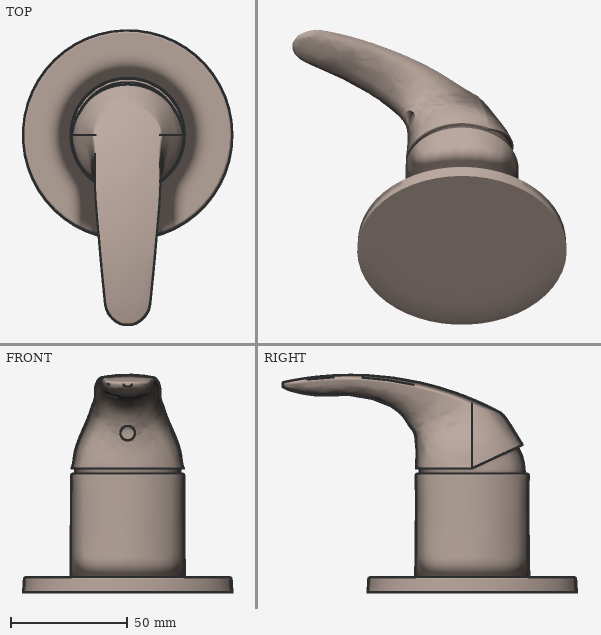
import cadquery as cq
import math

flange_radius = 45.0
flange_top_radius = 44.6
flange_height = 6.5
flange_edge = 1.0
sleeve_base_radius = 24.6
sleeve_top_radius = 24.3
sleeve_top = 51.0
sleeve_edge = 1.0

dome_radius = 22.7

head_bottom = 53.3
head_radius = 24.1
heel_y = 21.6
heel_z = 63.3
head_levels = [
    (head_bottom, 23.9, 23.9),
    (58.8, 22.8, 23.0),
    (64.0, 21.35, 21.3),
    (70.0, 18.85, 17.5),
    (74.0, 17.2, 15.0),
    (77.5, 15.8, 11.9),
    (84.0, 13.7, 5.6),
]

tip_y = -81.44
lever_sections = [
    ((-head_radius, head_bottom), (0.0, head_bottom), head_radius),
    ((-24.0, 58.8), (0.0, 58.8), 23.0),
    ((-25.2, 68.2), (0.0, 74.0), 17.4),
    ((-27.0, 71.6), (-8.0, 81.0), 14.3),
    ((-29.5, 75.5), (-17.1, 86.4), 14.1),
    ((-42.7, 83.0), (-41.5, 91.0), 12.7),
    ((-52.0, 84.6), (-52.0, 91.5), 11.8),
    ((-71.0, 85.0), (-71.0, 90.3), 9.9),
    ((-75.5, 86.0), (-75.5, 90.0), 9.0),
    ((-79.0, 87.0), (-79.0, 89.6), 6.4),
    ((-80.8, 87.9), (-80.8, 89.4), 3.8),
    ((tip_y, 88.4), (tip_y, 89.3), 1.8),
]
section_overshoot = 14.0

crown_y = -52.0
crown_z = 93.5
crown_radius = 134.0
crown_cross_radius = 54.0
crown_half_width = 30.0

rim_radius = 1.0

recess_radius = 3.1
recess_z = 68.4
recess_floor_y = -24.2
recess_length = 4.0

trim = 200.0


def make_base():
    flange = (
        cq.Workplane("XZ")
        .polyline([(0, 0), (flange_radius, 0), (flange_top_radius, flange_height), (0, flange_height)])
        .close()
        .revolve(360, (0, 0), (0, 1))
        .faces(">Z").edges().fillet(flange_edge)
    )
    sleeve = (
        cq.Workplane("XZ")
        .polyline([(0, 0), (sleeve_base_radius, 0), (sleeve_top_radius, sleeve_top), (0, sleeve_top)])
        .close()
        .revolve(360, (0, 0), (0, 1))
        .faces(">Z").edges().fillet(sleeve_edge)
    )
    dome = cq.Workplane("XY").sphere(dome_radius).translate((0, 0, sleeve_top))
    return flange.union(sleeve).union(dome)


def make_head():
    """Rear half of the head: a tapering ellipse trimmed by the crown, with a raised heel."""
    wires = []
    for height, half_width, depth in head_levels:
        level = cq.Workplane("XY", origin=(0, 0, height)).ellipse(half_width, depth)
        wires.append(level.val())
    loft = cq.Workplane(cq.Solid.makeLoft(wires))
    rear_space = cq.Workplane("XY").box(trim, trim, trim).translate((0, trim / 2, 0))
    head = loft.intersect(rear_space).intersect(make_crown()).cut(make_underside_cut())
    return head.faces(">Z").edges("not <Y").fillet(rim_radius)


def section_wire(inner, rim, half_width):
    """U-shaped section: a half ellipse below the rim and straight sides above it."""
    dy = rim[0] - inner[0]
    dz = rim[1] - inner[1]
    depth = math.hypot(dy, dz)
    plane = cq.Plane(origin=(0, rim[0], rim[1]), xDir=(1, 0, 0), normal=(0, -dz, dy))
    return (
        cq.Workplane(plane)
        .moveTo(-half_width, section_overshoot)
        .spline(
            [(-half_width, section_overshoot / 2)]
            + [
                (half_width * math.sin(math.radians(a)), -depth * math.cos(math.radians(a)))
                for a in range(-90, 91, 30)
            ]
            + [(half_width, section_overshoot / 2), (half_width, section_overshoot)],
            tangents=[(0, -1), (0, 1)],
            includeCurrent=True,
        )
        .close()
        .val()
    )


def make_lever():
    """Front half of the head, bending forward into the lever."""
    loft = cq.Workplane(cq.Solid.makeLoft([section_wire(*section) for section in lever_sections]))
    front_space = cq.Workplane("XY").box(trim, trim, trim).translate((0, -trim / 2, 0))
    lever = loft.intersect(front_space).intersect(make_crown())
    return lever.faces(">Z").edges("not >Y").fillet(rim_radius)


def make_crown():
    """Barrel whose upper surface is the crown of the lever."""
    sag = crown_cross_radius - math.sqrt(crown_cross_radius**2 - crown_half_width**2)
    edge = crown_radius - sag
    return (
        cq.Workplane("XZ", origin=(0, crown_y, crown_z - crown_radius))
        .moveTo(-crown_half_width, 0)
        .lineTo(-crown_half_width, edge)
        .threePointArc((0, crown_radius), (crown_half_width, edge))
        .lineTo(crown_half_width, 0)
        .close()
        .revolve(360, (0, 0), (1, 0))
    )


def make_underside_cut():
    """Space below the raised heel of the head."""
    slope = (heel_z - head_bottom) / heel_y
    return (
        cq.Workplane("YZ")
        .polyline([(0, head_bottom), (trim, head_bottom + slope * trim), (trim, 0), (0, 0)])
        .close()
        .extrude(trim / 2, both=True)
    )


def make_recess():
    return (
        cq.Workplane("XZ", origin=(0, recess_floor_y, recess_z))
        .circle(recess_radius)
        .extrude(recess_length)
    )


handle = make_head().union(make_lever()).cut(make_recess())
result = make_base().union(handle)